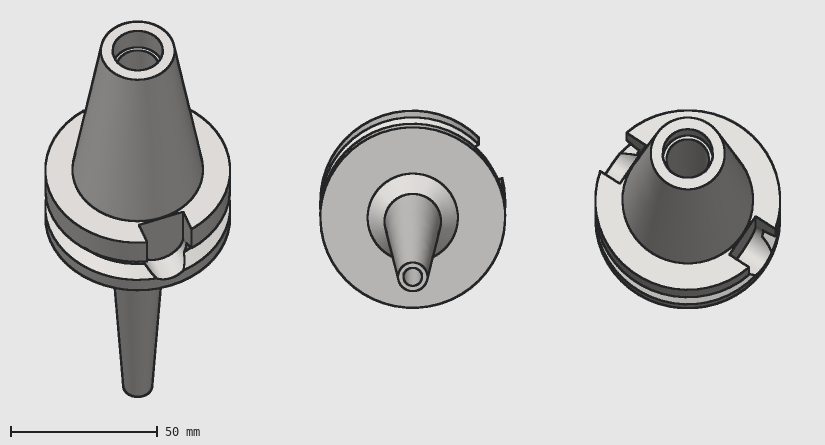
import cadquery as cq

total_length = 185.4
flange_bottom = 93.0
flange_top = 119.4
taper_start = 120.0
neck_bottom = 87.0

tip_radius = 5.0
neck_radius = 9.6
neck_shoulder_radius = 15.4
flange_radius = 31.5
taper_large_radius = 22.2
taper_small_radius = 12.6

groove_radius = 26.7
groove_lower_edge = 98.8
groove_floor_bottom = 101.5
groove_floor_top = 105.7
groove_upper_edge = 108.8

slot_width = 16.1
slot_bottom = 97.1
slot_floor_distance = 22.5

bore_steps = [(8.5, 9.0), (7.2, 66.7), (4.3, 148.3)]
through_hole_radius = 3.2


def make_body():
    """Revolve the nose, flange and taper about Z."""
    return (
        cq.Workplane("XZ")
        .lineTo(tip_radius, 0)
        .lineTo(neck_radius, neck_bottom)
        .lineTo(neck_shoulder_radius, flange_bottom)
        .lineTo(flange_radius, flange_bottom)
        .lineTo(flange_radius, groove_lower_edge)
        .lineTo(groove_radius, groove_floor_bottom)
        .lineTo(groove_radius, groove_floor_top)
        .lineTo(flange_radius, groove_upper_edge)
        .lineTo(flange_radius, flange_top)
        .lineTo(taper_large_radius, flange_top)
        .lineTo(taper_large_radius, taper_start)
        .lineTo(taper_small_radius, total_length)
        .lineTo(0, total_length)
        .close()
        .revolve(360, (0, 0, 0), (0, 1, 0))
    )


def make_drive_slot(side):
    """Round-bottomed slot, open at the flange top; side is +1 or -1 along X."""
    half_width = slot_width / 2
    arc_center_height = slot_bottom + half_width
    return (
        cq.Workplane("YZ", origin=(side * slot_floor_distance, 0, 0))
        .moveTo(-half_width, taper_start)
        .lineTo(-half_width, arc_center_height)
        .threePointArc((0, slot_bottom), (half_width, arc_center_height))
        .lineTo(half_width, taper_start)
        .close()
        .extrude(side * flange_radius)
    )


def make_bore(radius, depth):
    """Cylinder reaching down from the top face."""
    return cq.Workplane("XY", origin=(0, 0, total_length - depth)).circle(radius).extrude(depth)


result = make_body()
for side in (-1, 1):
    result = result.cut(make_drive_slot(side))
for radius, depth in bore_steps:
    result = result.cut(make_bore(radius, depth))
result = result.cut(make_bore(through_hole_radius, total_length))